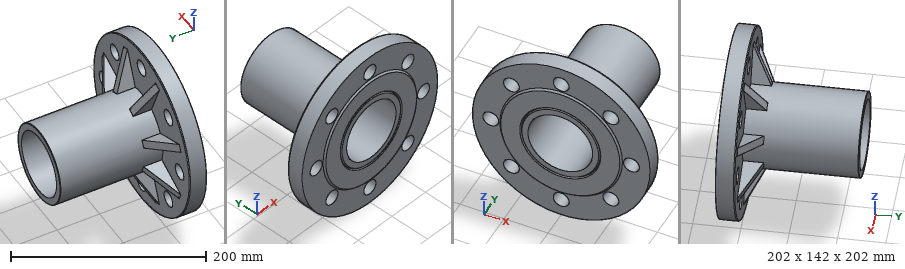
import cadquery as cq

total_length = 142.0

pipe_radius = 44.8
bore_radius = 36.8
pipe_end_chamfer = 0.6

flange_radius = 101.0
raised_height = 2.0
raised_radius = 69.7
raised_chamfer = raised_height
flange_back = 22.0
back_chamfer_length = 1.2
back_chamfer_width = 0.6

groove_half_width = 1.2
groove_depth = 1.2

bolt_count = 8
bolt_circle_radius = 80.0
bolt_hole_diameter = 18.0
bolt_pitch = 360 / bolt_count
rib_top = 43.5
rib_outer_radius = 87.9
rib_thickness = 8.9


def make_body():
    """Revolve the pipe and flange section, without the bore, about Y."""
    return (
        cq.Workplane("XY")
        .moveTo(0, 0)
        .lineTo(pipe_radius - groove_half_width, 0)
        .lineTo(pipe_radius, groove_depth)
        .lineTo(pipe_radius + groove_half_width, 0)
        .lineTo(raised_radius - raised_chamfer, 0)
        .lineTo(raised_radius, raised_height)
        .lineTo(flange_radius, raised_height)
        .lineTo(flange_radius, flange_back - back_chamfer_length)
        .lineTo(flange_radius - back_chamfer_width, flange_back)
        .lineTo(pipe_radius, flange_back)
        .lineTo(pipe_radius, total_length - pipe_end_chamfer)
        .lineTo(pipe_radius - pipe_end_chamfer, total_length)
        .lineTo(0, total_length)
        .close()
        .revolve(360, (0, 0, 0), (0, 1, 0))
    )


def make_rib(angle):
    """Triangular rib with its root buried in the pipe wall and flange."""
    root_radius = (bore_radius + pipe_radius) / 2
    root_base = (raised_height + flange_back) / 2
    slope = (rib_top - flange_back) / (rib_outer_radius - pipe_radius)
    root_top = rib_top + slope * (pipe_radius - root_radius)
    return (
        cq.Workplane("XY")
        .moveTo(root_radius, root_base)
        .lineTo(rib_outer_radius, root_base)
        .lineTo(rib_outer_radius, flange_back)
        .lineTo(root_radius, root_top)
        .close()
        .extrude(rib_thickness / 2, both=True)
        .rotate((0, 0, 0), (0, 1, 0), angle)
    )


def make_bore():
    return cq.Workplane("XZ").circle(bore_radius).extrude(-total_length)


def make_bolt_holes():
    return (
        cq.Workplane("XZ")
        .polarArray(bolt_circle_radius, 0, 360, bolt_count)
        .circle(bolt_hole_diameter / 2)
        .extrude(-flange_back)
    )


result = make_body()
for rib_index in range(bolt_count):
    result = result.union(make_rib((rib_index + 0.5) * bolt_pitch))
result = result.cut(make_bore()).cut(make_bolt_holes())